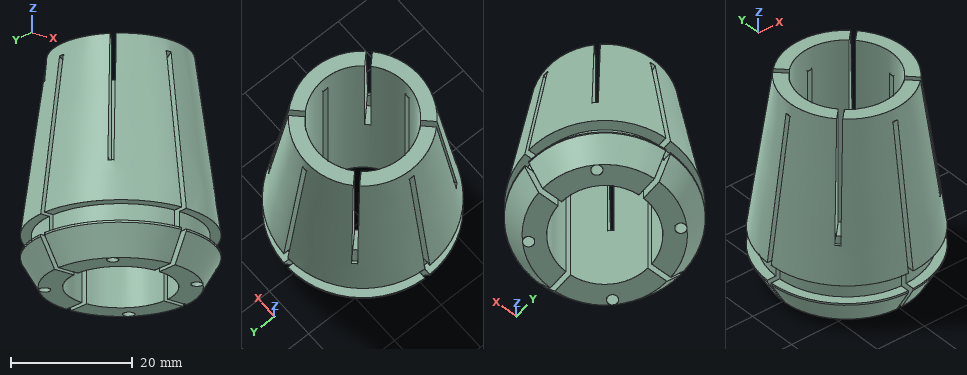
import cadquery as cq
import math

height = 40.0
outer_radius = 33.0 / 2
top_radius = 12.2
bore_radius = 9.5
groove_radius = 14.7
groove_top = 9.05
groove_bottom = 5.45
rim_height = 0.35
flange_angle = 30.0
flange_bottom = groove_bottom - rim_height
bottom_radius = outer_radius - flange_bottom * math.tan(math.radians(flange_angle))

slot_width = 1.0
slots_per_end = 4
slot_spacing = 360 / slots_per_end
lower_slot_end_outside = 37.7
lower_slot_end_inside = 35.4
upper_slot_end_outside = 16.5
upper_slot_end_inside = 16.9

hole_diameter = 2.0
hole_bottom_radius = 12.55
hole_top_radius = 14.1
hole_top = 17.2
overrun = 2.0


def cone_radius(z):
    """Radius of the tapered outside at height z."""
    return top_radius + (outer_radius - top_radius) * (height - z) / (height - groove_top)


def make_body():
    profile = [
        (bore_radius, 0),
        (bottom_radius, 0),
        (outer_radius, flange_bottom),
        (outer_radius, groove_bottom),
        (groove_radius, groove_bottom),
        (groove_radius, groove_top),
        (outer_radius, groove_top),
        (top_radius, height),
        (bore_radius, height),
    ]
    return cq.Workplane("XZ").polyline(profile).close().revolve(360, (0, 0), (0, 1))


def make_slot(end_inside, end_outside, open_end, angle):
    """Radial slot with a sloping end wall, running out through open_end."""
    wall_radius = cone_radius(end_outside)
    slope = (end_outside - end_inside) / (wall_radius - bore_radius)
    inner = bore_radius - overrun
    outer = outer_radius + overrun
    profile = [
        (inner, open_end),
        (outer, open_end),
        (outer, end_inside + slope * (outer - bore_radius)),
        (inner, end_inside + slope * (inner - bore_radius)),
    ]
    slot = cq.Workplane("XZ").polyline(profile).close().extrude(slot_width / 2, both=True)
    return slot.rotate((0, 0, 0), (0, 0, 1), angle)


def make_hole(angle):
    """Round hole leaning outwards from the bottom face to just above the slot end."""
    axis = cq.Vector(hole_top_radius - hole_bottom_radius, 0, hole_top)
    direction = axis.normalized()
    start = cq.Vector(hole_bottom_radius, 0, 0) - direction * overrun
    length = axis.Length + overrun
    hole = cq.Solid.makeCylinder(hole_diameter / 2, length, start, direction)
    return cq.Workplane(obj=hole).rotate((0, 0, 0), (0, 0, 1), angle)


result = make_body()
for index in range(slots_per_end):
    lower_angle = index * slot_spacing
    upper_angle = lower_angle + slot_spacing / 2
    result = result.cut(make_slot(lower_slot_end_inside, lower_slot_end_outside, -overrun, lower_angle))
    result = result.cut(
        make_slot(upper_slot_end_inside, upper_slot_end_outside, height + overrun, upper_angle)
    )
    result = result.cut(make_hole(upper_angle))